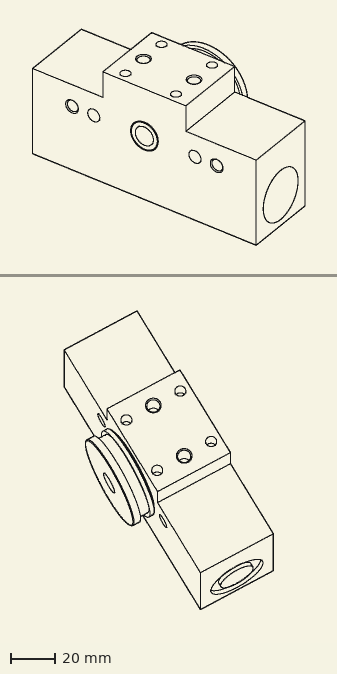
import cadquery as cq
import math

OVERALL_LENGTH = 124
HEIGHT = 61.0

CYLINDER_Z = 17.0
CAP_DIAMETER = 27.0
CAP_CENTRE_DIAMETER = 17.0
RECESS_DEPTH = 2.0
CAP_PROTRUSION = 0.06

LENGTH = OVERALL_LENGTH - CAP_PROTRUSION
DEPTH = 38.0
SHOULDER_HEIGHT = 47.0
TOWER_LENGTH = 46.0
FRONT_Y = -DEPTH / 2
BACK_Y = DEPTH / 2
LEFT_X = -LENGTH / 2
RIGHT_X = LENGTH / 2

ROTOR_Z = 35.0
SHAFT_BORE_DIAMETER = 15.3
SHAFT_DIAMETER = 15.0
SHAFT_CHAMFER = 0.31
ROTOR_BORE_DIAMETER = 10.0
FLANGE_DIAMETER = 44.0
NECK_DIAMETER = 40.0
FLANGE_CHAMFER = 0.4
NECK_LENGTH = 0.7
INNER_RIM_WIDTH = 2.6
GROOVE_WIDTH = 4.8
GROOVE_UNDERCUT = 0.6
OUTER_RIM_WIDTH = 3.8

MOUNTING_X = 28.0
MOUNTING_DIAMETER = 6.7

FRONT_THREAD_X = 40.0
THREAD_DIAMETER = 6.0
THREAD_MOUTH_DIAMETER = 7.1
THREAD_DEPTH = 11.2
DRILL_ANGLE = 118

TOP_HOLE_SPACING = 28.0
TOP_PIN_DIAMETER = 5.0
TOP_PIN_DEPTH = 8.7


def drill(diameter, depth, mouth_diameter=None):
    """Blind drill cutter along -Z from the origin, with a conical tip and optional mouth chamfer."""
    radius = diameter / 2
    tip = radius / math.tan(math.radians(DRILL_ANGLE / 2))
    mouth = (mouth_diameter or diameter) / 2
    profile = cq.Workplane("XZ").moveTo(0, 0).lineTo(mouth, 0)
    if mouth > radius:
        profile = profile.lineTo(radius, radius - mouth)
    profile = profile.lineTo(radius, -depth).lineTo(0, -depth - tip).close()
    return profile.revolve(360, (0, 0, 0), (0, 1, 0))


def make_housing():
    """Stepped block with its cylinder ends, rotor bore and fixing holes."""
    body = cq.Workplane("XY").box(LENGTH, DEPTH, SHOULDER_HEIGHT, centered=(True, True, False))
    tower = cq.Workplane("XY").box(TOWER_LENGTH, DEPTH, HEIGHT, centered=(True, True, False))
    body = body.union(tower)

    recess = (
        cq.Workplane("YZ", origin=(LEFT_X, 0, CYLINDER_Z))
        .circle(CAP_DIAMETER / 2)
        .circle(CAP_CENTRE_DIAMETER / 2)
        .extrude(RECESS_DEPTH)
    )
    cap = (
        cq.Workplane("YZ", origin=(RIGHT_X, 0, CYLINDER_Z))
        .circle(CAP_DIAMETER / 2)
        .extrude(CAP_PROTRUSION)
    )
    body = body.cut(recess).union(cap)

    through = cq.Workplane("XZ", origin=(0, BACK_Y, ROTOR_Z))
    body = body.cut(through.circle(SHAFT_BORE_DIAMETER / 2).extrude(DEPTH))
    mounting = through.pushPoints([(-MOUNTING_X, 0), (MOUNTING_X, 0)])
    body = body.cut(mounting.circle(MOUNTING_DIAMETER / 2).extrude(DEPTH))

    thread = drill(THREAD_DIAMETER, THREAD_DEPTH, THREAD_MOUTH_DIAMETER)
    pin = drill(TOP_PIN_DIAMETER, TOP_PIN_DEPTH)
    front_thread = thread.rotate((0, 0, 0), (1, 0, 0), 90)
    for side in (-1, 1):
        body = body.cut(front_thread.translate((side * FRONT_THREAD_X, FRONT_Y, ROTOR_Z)))
        top_x = side * TOP_HOLE_SPACING / 2
        body = body.cut(thread.translate((top_x, 0, HEIGHT)))
        for end in (-1, 1):
            body = body.cut(pin.translate((top_x, end * TOP_HOLE_SPACING / 2, HEIGHT)))
    return body


def make_rotor():
    """Hollow shaft and grooved flange, revolved from a half profile of (radius, y) points."""
    shaft_radius = SHAFT_DIAMETER / 2
    bore_radius = ROTOR_BORE_DIAMETER / 2
    neck_radius = NECK_DIAMETER / 2
    rim_radius = FLANGE_DIAMETER / 2

    inner_rim_y = BACK_Y + NECK_LENGTH
    groove_start_y = inner_rim_y + INNER_RIM_WIDTH
    groove_end_y = groove_start_y + GROOVE_WIDTH
    end_y = groove_end_y + OUTER_RIM_WIDTH

    profile = cq.Workplane("XY").polyline([
        (bore_radius, FRONT_Y),
        (shaft_radius - SHAFT_CHAMFER, FRONT_Y),
        (shaft_radius, FRONT_Y + SHAFT_CHAMFER),
        (shaft_radius, BACK_Y),
        (neck_radius, BACK_Y),
        (neck_radius, inner_rim_y),
        (rim_radius - FLANGE_CHAMFER, inner_rim_y),
        (rim_radius, inner_rim_y + FLANGE_CHAMFER),
        (rim_radius, groove_start_y),
        (neck_radius, groove_start_y - GROOVE_UNDERCUT),
        (neck_radius, groove_end_y + GROOVE_UNDERCUT),
        (rim_radius, groove_end_y),
        (rim_radius, end_y - FLANGE_CHAMFER),
        (rim_radius - FLANGE_CHAMFER, end_y),
        (bore_radius, end_y),
    ]).close()
    return profile.revolve(360, (0, 0, 0), (0, 1, 0)).translate((0, 0, ROTOR_Z))


housing = make_housing()
rotor = make_rotor()
result = cq.Compound.makeCompound([housing.val(), rotor.val()])